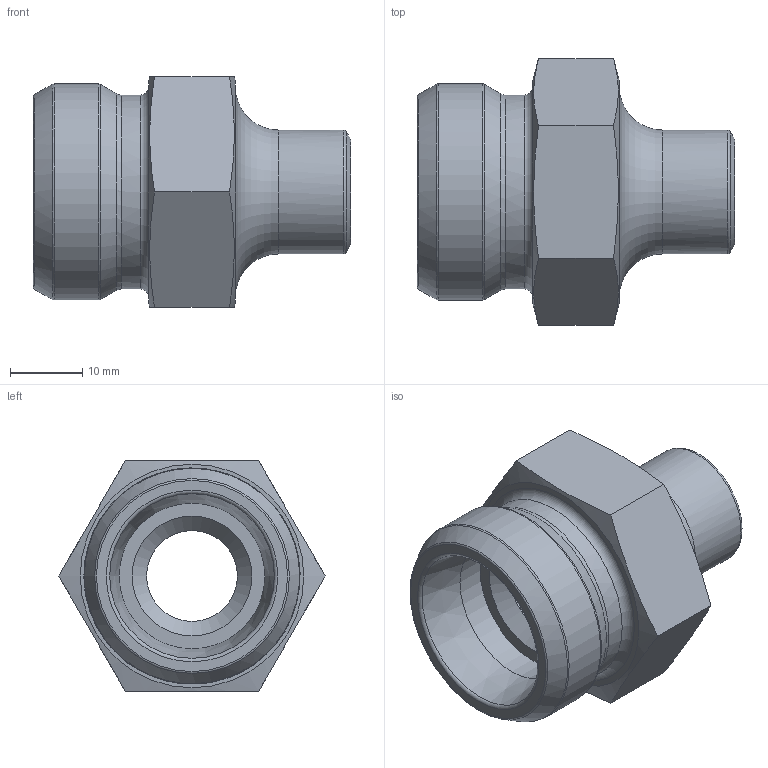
import cadquery as cq
import math

TOTAL_LENGTH = 44.0
COLLAR_END = 9.15
HEX_START = 16.0
HEX_LENGTH = 12.0
HEX_END = HEX_START + HEX_LENGTH

COLLAR_DIAMETER = 30.0
NECK_DIAMETER = 26.9
SPIGOT_DIAMETER = 17.2
COLLAR_RADIUS = COLLAR_DIAMETER / 2
NECK_RADIUS = NECK_DIAMETER / 2
SPIGOT_RADIUS = SPIGOT_DIAMETER / 2

COLLAR_BEVEL_LENGTH = 2.72
COLLAR_BEVEL_ANGLE = math.radians(30)
SPIGOT_BEVEL_LENGTH = 0.73
SPIGOT_BEVEL_ANGLE = math.radians(60)

HEX_ACROSS_FLATS = 32.0
HEX_ACROSS_CORNERS = HEX_ACROSS_FLATS / math.cos(math.radians(30))
HEX_BEVEL_START_RADIUS = 15.5
HEX_BEVEL_ANGLE = math.radians(15)
HEX_ENVELOPE_MARGIN = 1.0

MOUTH_DIAMETER = 23.0
SOCKET_DIAMETER = 20.22
COUNTERSINK_DIAMETER = 16.6
BORE_DIAMETER = 12.6
MOUTH_HALF_ANGLE = math.radians(12)
COUNTERSINK_HALF_ANGLE = math.radians(45)
SOCKET_DEPTH = 10.5

MOUTH_ROUNDING = 0.5
NOSE_ROUNDING = 0.3
COLLAR_FRONT_ROUNDING = 0.5
COLLAR_BACK_ROUNDING = 0.5
NECK_SLOPE_FILLET = 1.4
NECK_HEX_FILLET = 1.2
SPIGOT_HEX_FILLET = 6.0
SPIGOT_ROUNDING = 0.5

NOSE_RADIUS = COLLAR_RADIUS - COLLAR_BEVEL_LENGTH * math.tan(COLLAR_BEVEL_ANGLE)
NECK_START = COLLAR_END + (COLLAR_RADIUS - NECK_RADIUS) / math.tan(COLLAR_BEVEL_ANGLE)
SPIGOT_BEVEL_START = TOTAL_LENGTH - SPIGOT_BEVEL_LENGTH
SPIGOT_TIP_RADIUS = SPIGOT_RADIUS - SPIGOT_BEVEL_LENGTH * math.tan(SPIGOT_BEVEL_ANGLE)


def revolve_about_x(points):
    """Revolve a closed outline of (x, radius) points around the X axis."""
    return cq.Workplane("XY").polyline(points).close().revolve(360, (0, 0, 0), (1, 0, 0))


def round_circle(body, x, radius, rounding):
    """Round the circular edge that lies at station x with the given radius."""
    tolerance = 0.001

    def matches(edge):
        if edge.geomType() != "CIRCLE":
            return False
        same_station = abs(edge.Center().x - x) < tolerance
        return same_station and abs(edge.radius() - radius) < tolerance

    return body.newObject([edge for edge in body.edges().vals() if matches(edge)]).fillet(rounding)


def make_turned_body():
    """Collar, neck and spigot as one sharp-edged turned shape."""
    return revolve_about_x([
        (0, 0),
        (0, NOSE_RADIUS),
        (COLLAR_BEVEL_LENGTH, COLLAR_RADIUS),
        (COLLAR_END, COLLAR_RADIUS),
        (NECK_START, NECK_RADIUS),
        (HEX_START, NECK_RADIUS),
        (HEX_END, SPIGOT_RADIUS),
        (SPIGOT_BEVEL_START, SPIGOT_RADIUS),
        (TOTAL_LENGTH, SPIGOT_TIP_RADIUS),
        (TOTAL_LENGTH, 0),
    ])


def make_hexagon():
    """Hexagon with corners on the Y axis and both ends bevelled by a cone."""
    hexagon = (
        cq.Workplane("YZ", origin=(HEX_START, 0, 0))
        .polygon(6, HEX_ACROSS_CORNERS)
        .extrude(HEX_LENGTH)
    )
    envelope_radius = HEX_ACROSS_CORNERS / 2 + HEX_ENVELOPE_MARGIN
    bevel_length = (envelope_radius - HEX_BEVEL_START_RADIUS) * math.tan(HEX_BEVEL_ANGLE)
    envelope = revolve_about_x([
        (HEX_START, 0),
        (HEX_START, HEX_BEVEL_START_RADIUS),
        (HEX_START + bevel_length, envelope_radius),
        (HEX_END - bevel_length, envelope_radius),
        (HEX_END, HEX_BEVEL_START_RADIUS),
        (HEX_END, 0),
    ])
    return hexagon.intersect(envelope)


def make_passage():
    """Space to remove: tapered mouth, socket, countersink and through bore."""
    mouth_radius = MOUTH_DIAMETER / 2
    socket_radius = SOCKET_DIAMETER / 2
    countersink_radius = COUNTERSINK_DIAMETER / 2
    bore_radius = BORE_DIAMETER / 2
    taper_depth = (mouth_radius - socket_radius) / math.tan(MOUTH_HALF_ANGLE)
    countersink_depth = (countersink_radius - bore_radius) / math.tan(COUNTERSINK_HALF_ANGLE)
    return revolve_about_x([
        (0, 0),
        (0, mouth_radius),
        (taper_depth, socket_radius),
        (SOCKET_DEPTH, socket_radius),
        (SOCKET_DEPTH, countersink_radius),
        (SOCKET_DEPTH + countersink_depth, bore_radius),
        (TOTAL_LENGTH, bore_radius),
        (TOTAL_LENGTH, 0),
    ])


result = make_turned_body().union(make_hexagon()).cut(make_passage())

ROUNDED_EDGES = [
    (0, MOUTH_DIAMETER / 2, MOUTH_ROUNDING),
    (0, NOSE_RADIUS, NOSE_ROUNDING),
    (COLLAR_BEVEL_LENGTH, COLLAR_RADIUS, COLLAR_FRONT_ROUNDING),
    (COLLAR_END, COLLAR_RADIUS, COLLAR_BACK_ROUNDING),
    (NECK_START, NECK_RADIUS, NECK_SLOPE_FILLET),
    (HEX_START, NECK_RADIUS, NECK_HEX_FILLET),
    (HEX_END, SPIGOT_RADIUS, SPIGOT_HEX_FILLET),
    (SPIGOT_BEVEL_START, SPIGOT_RADIUS, SPIGOT_ROUNDING),
]
for station, edge_radius, rounding in ROUNDED_EDGES:
    result = round_circle(result, station, edge_radius, rounding)